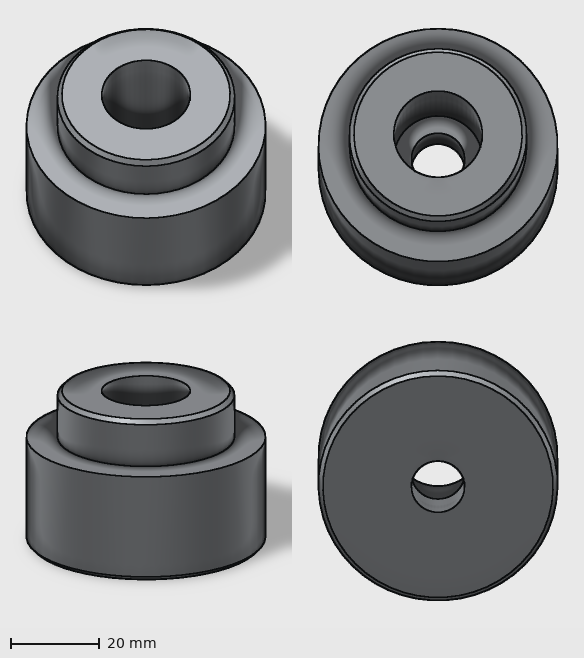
import cadquery as cq

body_diameter = 54.0
boss_diameter = 40.0
total_height = 36.0
boss_height = 11.0
edge_chamfer = 1.0
through_hole_diameter = 12.0
counterbore_diameter = 20.0

body_height = total_height - boss_height
counterbore_depth = total_height - boss_height

body = cq.Workplane("XY").circle(body_diameter / 2).extrude(body_height)
body = body.faces("<Z").edges().chamfer(edge_chamfer)

boss = cq.Workplane("XY").workplane(offset=body_height).circle(boss_diameter / 2).extrude(boss_height)
boss = boss.faces(">Z").edges().chamfer(edge_chamfer)

result = (
    body.union(boss)
    .faces(">Z")
    .workplane(centerOption="CenterOfBoundBox")
    .cboreHole(through_hole_diameter, counterbore_diameter, counterbore_depth)
)